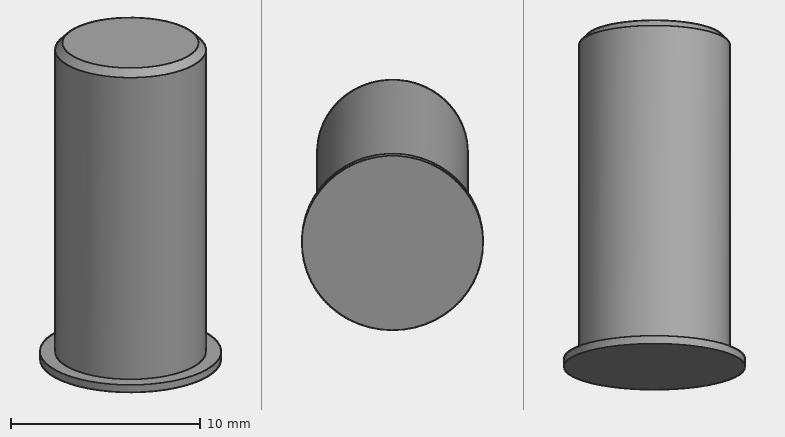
import cadquery as cq

total_height = 18.0
flange_diameter = 9.6
flange_thickness = 0.43
body_diameter = 8.0
top_chamfer = 0.4

flange = cq.Workplane("XY").circle(flange_diameter / 2).extrude(flange_thickness)

body = (
    cq.Workplane("XY")
    .circle(body_diameter / 2)
    .extrude(total_height)
    .faces(">Z")
    .edges()
    .chamfer(top_chamfer)
)

result = flange.union(body)